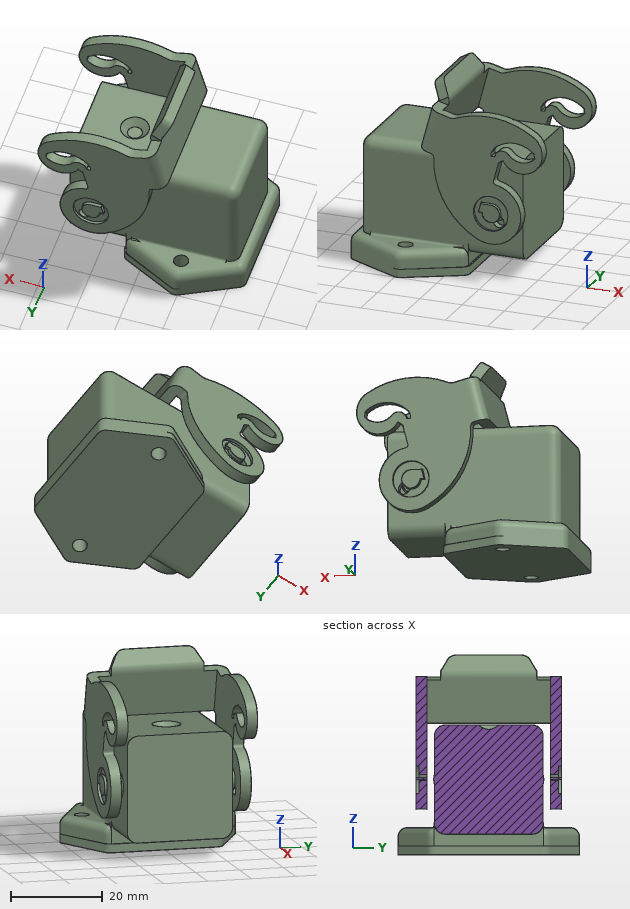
import cadquery as cq
import math


TOTAL_LENGTH = 46.75

GASKET_LENGTH = 28.05
GASKET_HEIGHT = 1.95
FLANGE_LENGTH = 27.7
FLANGE_HEIGHT = 6.0
FLANGE_HALF_WIDTH = 19.95
FLANGE_SIDE_HALF = 13.0
FLANGE_CORNER_RADIUS = 2.0
FLANGE_TOP_RADIUS = 1.95
SCREW_HOLE_RADIUS = 1.65
SCREW_HOLE_Y = 15.0

HOOD_LEFT = 2.05
HOOD_RIGHT = 40.65
HOOD_BOTTOM = 4.55
HOOD_TOP = 28.55
HOOD_HALF_WIDTH = 12.0
HOOD_RADIUS = 2.5
COVE_RADIUS = 0.5
COVE_END = 26.4
DIMPLE_X = 29.5
DIMPLE_TOP_RADIUS = 3.2
DIMPLE_FLOOR_RADIUS = 1.65

SHEET = 2.5
LEVER_HALF_WIDTH = 16.05
LEVER_INNER_Y = LEVER_HALF_WIDTH - SHEET
BEND_RADIUS = 2.45
LEVER_TILT = 15.0
STRAP_HEIGHT = 9.9
STRAP_BOTTOM_X = 17.4
STRAP_BOTTOM_Z = 29.55

TAB_TILT = -30.0
TAB_STUB = 0.35
TAB_TIP_Z = 43.95
TAB_TIP_HALF = 8.45
TAB_ROOT_HALF = 10.55
TAB_CORNER_RADIUS = 2.2

BACK_CENTER = (33.7, 19.6)
BACK_RADIUS = 19.8
HOOK_RADIUS = 5.0
THROAT_TOP = (37.25, 29.35)
THROAT_END = (36.4, 28.7)
PIVOT = (34.55, 16.55)
DISC_RADIUS = 7.1
BELLY_RADIUS = 19.15
BELLY_LEFT = 21.1
VALLEY_RADIUS = 2.35
SHOULDER_RADIUS = 0.95
NECK_RADIUS = 0.7

SLOT_TIP_TOP = (44.85, 32.1)
SLOT_TIP_BOTTOM = (44.95, 30.95)
SLOT_CROWN = (40.2, 34.0)
SLOT_NOSE = ((35.25, 32.0), (34.65, 30.95), (34.65, 30.15), (35.5, 30.2))
SLOT_BUMP_TOP = (37.25, 31.75)
SLOT_BUMP_END = (38.75, 31.15)
SLOT_BELLY = (42.0, 29.65)

RECESS_RADIUS = 4.05
RECESS_DEPTH = 0.65
BOSS_RADIUS = 2.55
BOSS_FLARE = 0.37
PIN_RADIUS = 2.05
PIN_CLEARANCE = 0.15
PIN_KEY_TIP = 2.95
PIN_KEY_TOP = 2.4
LOBE_RADIUS = 1.2
LOBE_OFFSET = 2.65
LOBE_ANGLE = -50.0


def tilted(tilt):
    """Unit vectors along and across a direction leaning from Z towards +X."""
    angle = math.radians(tilt)
    along = (math.sin(angle), math.cos(angle))
    across = (math.cos(angle), -math.sin(angle))
    return along, across


def step(point, direction, length):
    return point[0] + direction[0] * length, point[1] + direction[1] * length


def toward(center, target, radius):
    """Point at the given radius from center, in the direction of target."""
    distance = math.dist(center, target)
    return (
        center[0] + (target[0] - center[0]) * radius / distance,
        center[1] + (target[1] - center[1]) * radius / distance,
    )


def first_hit(start, direction, center, radius):
    """First point where a ray from outside a circle meets it."""
    dx = center[0] - start[0]
    dz = center[1] - start[1]
    forward = dx * direction[0] + dz * direction[1]
    half_chord = math.sqrt(radius**2 - (dx**2 + dz**2 - forward**2))
    return step(start, direction, forward - half_chord)


def polar(center, radius, degrees):
    angle = math.radians(degrees)
    return center[0] + radius * math.cos(angle), center[1] + radius * math.sin(angle)


def side_plane(y):
    """XZ sketch plane at the given Y, extruding towards -Y."""
    return cq.Workplane("XZ", origin=(0, y, 0))


def mirrored_pair(solid):
    return solid.union(solid.mirror("XZ"))


def hexagon(length, height):
    half_turn = math.atan2(FLANGE_HALF_WIDTH - FLANGE_SIDE_HALF, GASKET_LENGTH / 2)
    tip = FLANGE_HALF_WIDTH + FLANGE_CORNER_RADIUS * (1 / math.cos(half_turn) - 1)
    middle = GASKET_LENGTH / 2
    outline = [
        (0, -FLANGE_SIDE_HALF),
        (middle, -tip),
        (length, -FLANGE_SIDE_HALF),
        (length, FLANGE_SIDE_HALF),
        (middle, tip),
        (0, FLANGE_SIDE_HALF),
    ]
    return (
        cq.Workplane("XY").polyline(outline).close().extrude(height)
        .edges("|Z").fillet(FLANGE_CORNER_RADIUS)
    )


def make_flange():
    plate = hexagon(FLANGE_LENGTH, FLANGE_HEIGHT).faces(">Z").edges().fillet(FLANGE_TOP_RADIUS)
    flange = plate.union(hexagon(GASKET_LENGTH, GASKET_HEIGHT))
    screw_holes = (
        cq.Workplane("XY")
        .pushPoints([(GASKET_LENGTH / 2, y) for y in (-SCREW_HOLE_Y, SCREW_HOLE_Y)])
        .circle(SCREW_HOLE_RADIUS).extrude(FLANGE_HEIGHT)
    )
    return flange.cut(screw_holes)


def hood_block(right, bottom, top):
    return (
        cq.Workplane("XY", origin=(HOOD_LEFT, 0, bottom))
        .box(right - HOOD_LEFT, 2 * HOOD_HALF_WIDTH, top - bottom, centered=(False, True, False))
        .edges("|Z and <X").fillet(HOOD_RADIUS)
    )


def make_hood():
    shell = hood_block(HOOD_RIGHT, HOOD_BOTTOM, HOOD_TOP)
    shell = shell.faces(">Z").edges("not(>X)").fillet(HOOD_RADIUS)
    shell = shell.faces("<Z").edges("|X").fillet(HOOD_RADIUS)
    foot = hood_block(FLANGE_LENGTH, GASKET_HEIGHT, HOOD_BOTTOM + 2 * HOOD_RADIUS)
    return shell.union(foot)


def make_cove():
    """Concave strip between the hood's side wall and the flange top."""
    start = HOOD_LEFT + HOOD_RADIUS
    wall = HOOD_HALF_WIDTH
    arc_offset = COVE_RADIUS * (1 - math.sqrt(0.5))
    strip = (
        cq.Workplane("YZ", origin=(start, 0, 0))
        .moveTo(wall, FLANGE_HEIGHT)
        .lineTo(wall + COVE_RADIUS, FLANGE_HEIGHT)
        .threePointArc(
            (wall + arc_offset, FLANGE_HEIGHT + arc_offset),
            (wall, FLANGE_HEIGHT + COVE_RADIUS),
        )
        .close().extrude(COVE_END - start)
    )
    return mirrored_pair(strip)


def make_dimple():
    """Conical recess with a flat floor in the hood's top."""
    depth = DIMPLE_TOP_RADIUS - DIMPLE_FLOOR_RADIUS
    return cq.Workplane(cq.Solid.makeCone(
        DIMPLE_FLOOR_RADIUS, DIMPLE_TOP_RADIUS, depth,
        pnt=cq.Vector(DIMPLE_X, 0, HOOD_TOP - depth),
    ))


strap_up, strap_across = tilted(LEVER_TILT)
strap_bottom = (STRAP_BOTTOM_X, STRAP_BOTTOM_Z)
strap_top = step(strap_bottom, strap_up, STRAP_HEIGHT)
cheek_bottom = step(strap_bottom, strap_across, SHEET)
cheek_top = step(strap_top, strap_across, SHEET)


def make_strap():
    outline = [strap_bottom, strap_top, cheek_top, cheek_bottom]
    strap = side_plane(LEVER_HALF_WIDTH).polyline(outline).close().extrude(2 * LEVER_HALF_WIDTH)
    outer_middle = step(strap_bottom, strap_up, STRAP_HEIGHT / 2)
    for y in (-LEVER_HALF_WIDTH, LEVER_HALF_WIDTH):
        corner = cq.selectors.NearestToPointSelector((outer_middle[0], y, outer_middle[1]))
        strap = strap.edges(corner).fillet(BEND_RADIUS)
    return strap


def make_tab():
    tab_up, tab_across = tilted(TAB_TILT)
    bend = step(strap_top, strap_up, TAB_STUB)
    length = (TAB_TIP_Z - bend[1] - SHEET * tab_across[1]) / tab_up[1]
    tip = step(bend, tab_up, length)
    _, bend_middle = tilted((LEVER_TILT + TAB_TILT) / 2)
    profile = (
        side_plane(LEVER_HALF_WIDTH)
        .polyline([cheek_top, strap_top, bend, tip, step(tip, tab_across, SHEET)])
        .lineTo(*step(bend, tab_across, SHEET))
        .threePointArc(step(bend, bend_middle, SHEET), step(bend, strap_across, SHEET))
        .close().extrude(2 * LEVER_HALF_WIDTH)
    )
    blank_plane = cq.Plane(
        origin=(tip[0], 0, tip[1]), xDir=(0, 1, 0), normal=(tab_across[0], 0, tab_across[1])
    )
    root = -length - TAB_STUB
    tail = root - SHEET
    blank = (
        cq.Workplane(blank_plane)
        .polyline([
            (-TAB_TIP_HALF, 0), (TAB_TIP_HALF, 0), (TAB_ROOT_HALF, root),
            (TAB_ROOT_HALF, tail), (-TAB_ROOT_HALF, tail), (-TAB_ROOT_HALF, root),
        ])
        .close().extrude(2 * SHEET, both=True)
    )
    for y in (-TAB_TIP_HALF, TAB_TIP_HALF):
        corner = cq.selectors.NearestToPointSelector((tip[0], y, tip[1]))
        blank = blank.edges(corner).fillet(TAB_CORNER_RADIUS)
    return profile.intersect(blank)


def make_cheek():
    """Side plate of the lever on the +Y side."""
    hook_x = TOTAL_LENGTH - HOOK_RADIUS
    hook_reach = BACK_RADIUS - HOOK_RADIUS
    hook = (hook_x, BACK_CENTER[1] + math.sqrt(hook_reach**2 - (hook_x - BACK_CENTER[0])**2))
    belly_x = BELLY_LEFT + BELLY_RADIUS
    belly_reach = BELLY_RADIUS - DISC_RADIUS
    belly = (belly_x, PIVOT[1] + math.sqrt(belly_reach**2 - (belly_x - PIVOT[0])**2))

    valley = first_hit(cheek_top, strap_across, BACK_CENTER, BACK_RADIUS)
    hook_start = toward(BACK_CENTER, hook, BACK_RADIUS)
    hook_end = toward(hook, THROAT_TOP, HOOK_RADIUS)
    neck_down = (-strap_up[0], -strap_up[1])
    neck = first_hit(THROAT_END, neck_down, PIVOT, DISC_RADIUS)
    disc_end = toward(belly, PIVOT, BELLY_RADIUS)
    shoulder = first_hit(cheek_bottom, strap_across, belly, BELLY_RADIUS)

    cheek = (
        side_plane(LEVER_HALF_WIDTH)
        .moveTo(*cheek_top)
        .lineTo(*valley)
        .threePointArc(polar(BACK_CENTER, BACK_RADIUS, 90), hook_start)
        .threePointArc(polar(hook, HOOK_RADIUS, -45), hook_end)
        .threePointArc(THROAT_TOP, THROAT_END)
        .lineTo(*neck)
        .threePointArc(polar(PIVOT, DISC_RADIUS, 0), disc_end)
        .threePointArc(polar(belly, BELLY_RADIUS, 210), shoulder)
        .lineTo(*cheek_bottom)
        .close().extrude(SHEET)
    )
    roundings = ((valley, VALLEY_RADIUS), (neck, NECK_RADIUS), (shoulder, SHOULDER_RADIUS))
    middle_y = LEVER_HALF_WIDTH - SHEET / 2
    for corner, radius in roundings:
        edge = cq.selectors.NearestToPointSelector((corner[0], middle_y, corner[1]))
        cheek = cheek.edges(edge).fillet(radius)

    spring_slot = (
        side_plane(LEVER_HALF_WIDTH)
        .moveTo(*SLOT_TIP_TOP)
        .threePointArc(SLOT_CROWN, SLOT_NOSE[0])
        .lineTo(*SLOT_NOSE[1])
        .lineTo(*SLOT_NOSE[2])
        .lineTo(*SLOT_NOSE[3])
        .threePointArc(SLOT_BUMP_TOP, SLOT_BUMP_END)
        .threePointArc(SLOT_BELLY, SLOT_TIP_BOTTOM)
        .close().extrude(SHEET)
    )
    recess = side_plane(LEVER_HALF_WIDTH).center(*PIVOT).circle(RECESS_RADIUS).extrude(RECESS_DEPTH)
    lobe_center = polar(PIVOT, LOBE_OFFSET / 2, LOBE_ANGLE)
    lobe = (
        side_plane(LEVER_HALF_WIDTH).center(*lobe_center)
        .slot2D(LOBE_OFFSET + 2 * LOBE_RADIUS, 2 * LOBE_RADIUS, LOBE_ANGLE).extrude(SHEET)
    )
    return cheek.cut(spring_slot).cut(recess).cut(lobe).cut(keyed_pin(PIN_CLEARANCE))


def keyed_pin(margin):
    """Round pin with a key pointing to -X, grown by a margin all round."""
    radius = PIN_RADIUS + margin
    start = side_plane(LEVER_HALF_WIDTH).center(*PIVOT)
    key_outline = [
        (0, -margin),
        (-PIN_KEY_TIP - margin, -margin),
        (-PIN_KEY_TOP - margin, radius),
        (0, radius),
    ]
    key = start.polyline(key_outline).close().extrude(SHEET)
    return start.circle(radius).extrude(SHEET).union(key)


def make_boss():
    """Round boss from the hood's side to the lever, flared at the hood."""
    flare_end = HOOD_HALF_WIDTH + BOSS_FLARE
    boss = side_plane(LEVER_INNER_Y).center(*PIVOT).circle(BOSS_RADIUS)
    boss = boss.extrude(LEVER_INNER_Y - HOOD_HALF_WIDTH)
    flare = cq.Workplane(cq.Solid.makeCone(
        BOSS_RADIUS, BOSS_RADIUS + BOSS_FLARE, BOSS_FLARE,
        pnt=cq.Vector(PIVOT[0], flare_end, PIVOT[1]), dir=cq.Vector(0, -1, 0),
    ))
    return boss.union(flare)


housing = make_flange().union(make_hood()).union(make_cove()).cut(make_dimple())
side_parts = mirrored_pair(make_cheek().union(make_boss()).union(keyed_pin(0)))
result = housing.union(side_parts).union(make_strap()).union(make_tab())